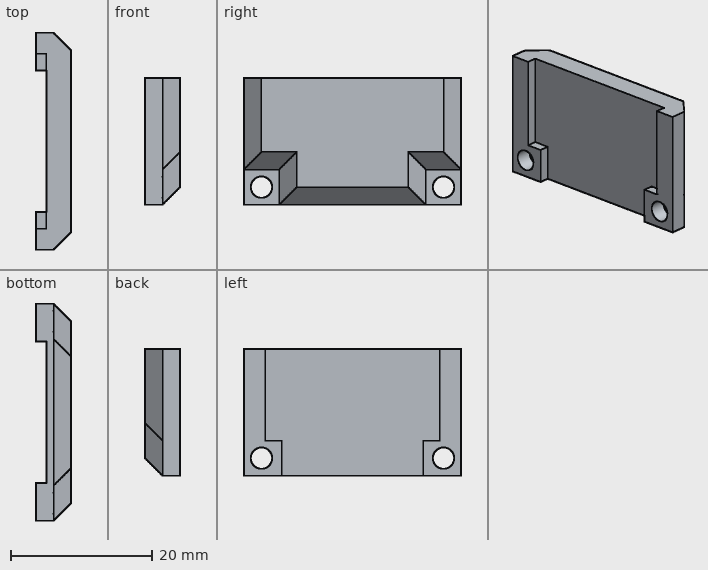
import cadquery as cq

thickness = 5.0
width = 30.8
height = 18.0
half_width = width / 2

bevel = 2.5

pocket_depth = 1.5
rail_width = 3.0
foot_spacing = 20.0
foot_width = (width - foot_spacing) / 2
foot_height = 5.0

hole_diameter = 3.0
hole_inset = 2.5
recess_size = 2 * hole_inset
recess_floor = thickness - bevel

overrun = 1.0


def make_plate():
    """Plate standing on Z = 0 with its -X face on X = 0, beveled on the +X face."""
    plate = cq.Workplane("XY").box(thickness, width, height, centered=(False, True, False))
    return plate.faces(">X").edges("|Z or <Z").chamfer(bevel)


def make_pocket():
    """Pocket between the side rails, narrowed at the bottom by the two feet."""
    upper_half = half_width - rail_width
    lower_half = half_width - foot_width
    outline = [
        (-lower_half, -overrun),
        (lower_half, -overrun),
        (lower_half, foot_height),
        (upper_half, foot_height),
        (upper_half, height + overrun),
        (-upper_half, height + overrun),
        (-upper_half, foot_height),
        (-lower_half, foot_height),
    ]
    return cq.Workplane("YZ").polyline(outline).close().extrude(pocket_depth)


def make_hole(side):
    """Through hole in the foot on the given side (+1 or -1 along Y)."""
    return (
        cq.Workplane("YZ")
        .center(side * (half_width - hole_inset), hole_inset)
        .circle(hole_diameter / 2)
        .extrude(thickness)
    )


def make_corner_recess(side):
    """Square recess around the hole, open at the corner, with walls flaring at 45 degrees towards +X."""
    cutter_size = recess_size + overrun
    cutter_y = side * (half_width - recess_size + cutter_size / 2)
    cutter_z = recess_size - cutter_size / 2
    cutter_depth = bevel + overrun
    flared_size = cutter_size + 2 * cutter_depth
    return (
        cq.Workplane("YZ")
        .workplane(offset=recess_floor)
        .center(cutter_y, cutter_z)
        .rect(cutter_size, cutter_size)
        .workplane(offset=cutter_depth)
        .rect(flared_size, flared_size)
        .loft(ruled=True)
    )


result = make_plate().cut(make_pocket())
for side in (-1, 1):
    result = result.cut(make_hole(side)).cut(make_corner_recess(side))